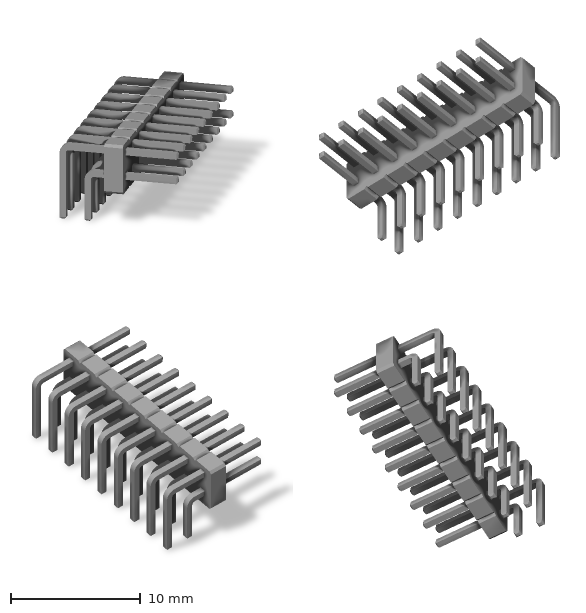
import cadquery as cq

column_count = 9
pitch = 2.0
housing_depth = 1.5
housing_height = 4.0
housing_chamfer = 0.2

pin_width = 0.5
bend_inner_radius = 0.25
bend_outer_radius = bend_inner_radius + pin_width
tip_chamfer = 0.125
leg_to_housing = 3.75
mating_length = 4.2
upper_pin_top_inset = 0.5
overall_height = 6.65

housing_rear_x = -housing_depth / 2
mating_end_x = housing_depth / 2 + mating_length
upper_leg_x = housing_rear_x - leg_to_housing
upper_pin_z = overall_height - upper_pin_top_inset
housing_center_z = overall_height - housing_height / 2
first_column_y = -pitch * (column_count - 1) / 2


def make_housing_block(y):
    """Block with its four long edges, those along X, chamfered."""
    block = cq.Workplane("XY").box(housing_depth, pitch, housing_height)
    block = block.edges("|X").chamfer(housing_chamfer)
    return block.translate((0, y, housing_center_z))


def make_pin(y, leg_x, top_z):
    """L-shaped square pin: leg_x is its outer leg face, top_z its top face."""
    pin = (
        cq.Workplane("XZ", origin=(0, y, 0))
        .moveTo(leg_x, 0)
        .lineTo(leg_x, top_z - bend_outer_radius)
        .radiusArc((leg_x + bend_outer_radius, top_z), bend_outer_radius)
        .lineTo(mating_end_x, top_z)
        .lineTo(mating_end_x, top_z - pin_width)
        .lineTo(leg_x + bend_outer_radius, top_z - pin_width)
        .radiusArc((leg_x + pin_width, top_z - bend_outer_radius), -bend_inner_radius)
        .lineTo(leg_x + pin_width, 0)
        .close()
        .extrude(pin_width / 2, both=True)
    )
    pin = pin.faces(">X").chamfer(tip_chamfer)
    return pin.faces("<Z").chamfer(tip_chamfer)


def make_column(y):
    """Housing block with its upper pin and the shorter pin nested one pitch inside it."""
    upper_pin = make_pin(y, upper_leg_x, upper_pin_z)
    lower_pin = make_pin(y, upper_leg_x + pitch, upper_pin_z - pitch)
    return make_housing_block(y).union(upper_pin).union(lower_pin)


result = make_column(first_column_y)
for column in range(1, column_count):
    result = result.union(make_column(first_column_y + column * pitch))
result = result.clean()